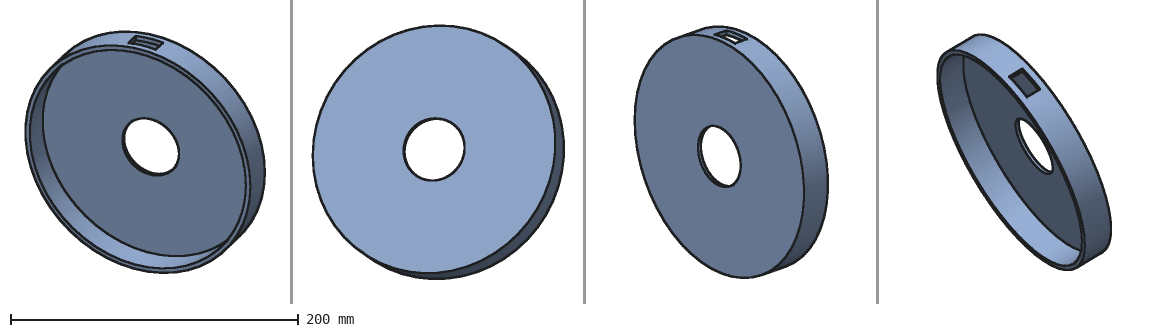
import cadquery as cq

outer_diameter = 175.0
inner_diameter = 168.0
depth = 22.5
floor_thickness = 2.8
bore_diameter = 44.0

window_width = 21.0
window_height = 11.2
window_offset = 0.5

wall_thickness = (outer_diameter - inner_diameter) / 2


def disc(diameter, front, back):
    """Cylinder along Y between two Y positions."""
    plane = cq.Workplane("XZ", origin=(0, back, 0))
    return plane.circle(diameter / 2).extrude(back - front)


front_face = -depth / 2
back_face = depth / 2
floor_face = back_face - floor_thickness

body = disc(outer_diameter, front_face, back_face)
cavity = disc(inner_diameter, front_face, floor_face)
bore = disc(bore_diameter, front_face, back_face)

cutter_height = 4 * wall_thickness
window = (
    cq.Workplane("XY")
    .box(window_width, window_height, cutter_height)
    .translate((window_offset, 0, outer_diameter / 2))
)

result = body.cut(cavity).cut(bore).cut(window)